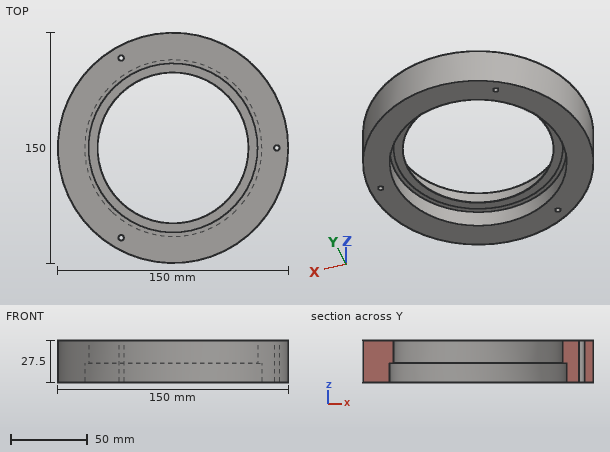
import cadquery as cq

outer_diameter = 150.0
height = 27.5

seat_diameter = 110.0
seat_depth = 14.5
lip_diameter = 98.0
lip_thickness = 0.5
recess_diameter = 115.14
recess_depth = height - seat_depth - lip_thickness

hole_diameter = 3.4
hole_circle_diameter = 135.0
hole_count = 3


def cylinder(diameter, bottom, length):
    """Upright cylinder on the ring axis, starting at height `bottom`."""
    return cq.Workplane("XY").workplane(offset=bottom).circle(diameter / 2).extrude(length)


def stepped_bore():
    """Space inside the ring: the seat and the recess leave a thin lip between them."""
    seat = cylinder(seat_diameter, height - seat_depth, seat_depth)
    lip_opening = cylinder(lip_diameter, 0, height)
    recess = cylinder(recess_diameter, 0, recess_depth)
    return lip_opening.union(seat).union(recess)


def mounting_holes():
    """Through holes evenly spaced on the hole circle, the first on the +X axis."""
    places = cq.Workplane("XY").polarArray(hole_circle_diameter / 2, 0, 360, hole_count)
    return places.circle(hole_diameter / 2).extrude(height)


ring = cylinder(outer_diameter, 0, height)
result = ring.cut(stepped_bore()).cut(mounting_holes())